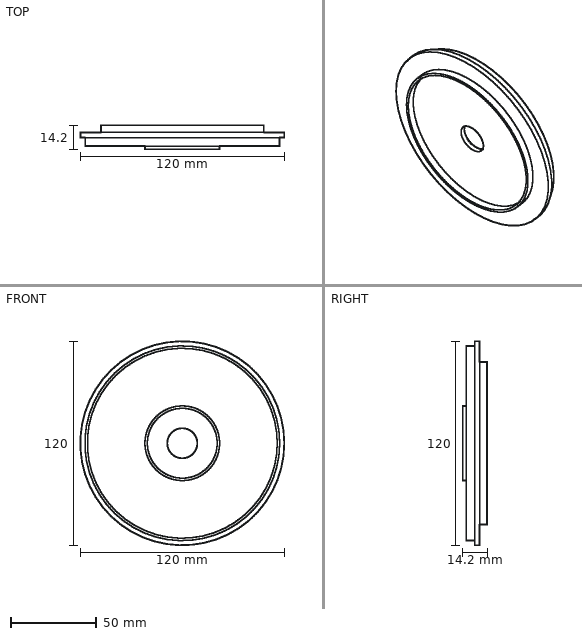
import cadquery as cq

flange_diameter = 120.0
rim_diameter = 114.5
back_diameter = 95.8
hub_diameter = 43.9
bore_diameter = 17.5
wall = 1.5

back_height = 4.3
flange_thickness = 3.0
rim_height = 5.0
hub_overhang = 1.9

flange_back = flange_thickness
back_face = flange_back + back_height
rim_front = -rim_height
hub_front = rim_front - hub_overhang
flange_front = 0.0


def disc(diameter, y_start, y_end):
    """Solid cylinder about the Y axis between two stations."""
    plane = cq.Workplane("XZ", origin=(0, y_end, 0))
    return plane.circle(diameter / 2).extrude(y_end - y_start)


def ring(diameter, y_start, y_end):
    """Thin wall around the Y axis, given by its outer diameter."""
    return disc(diameter, y_start, y_end).cut(disc(diameter - 2 * wall, y_start, y_end))


body = disc(flange_diameter, flange_front, flange_back)
body = body.union(ring(back_diameter, flange_back, back_face))

body = body.union(ring(rim_diameter, rim_front, flange_front))
body = body.union(ring(hub_diameter, hub_front, flange_front))

result = body.cut(disc(bore_diameter, flange_front, flange_back))